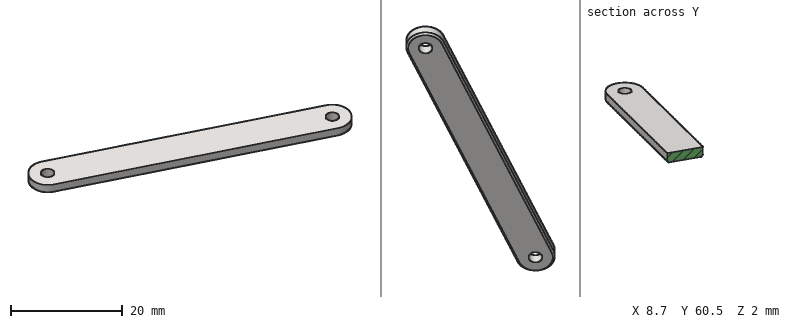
import cadquery as cq
import math

width = 6.95
thickness = 2.0
hole_diameter = 2.4
hole_offset_x = 1.75
hole_offset_y = 53.55
bottom_chamfer = 0.35

hole_distance = math.hypot(hole_offset_x, hole_offset_y)
link_angle = 90 + math.degrees(math.atan2(hole_offset_x, hole_offset_y))

link = cq.Workplane("XY").slot2D(hole_distance + width, width).extrude(thickness)

link = link.faces("<Z").edges().chamfer(bottom_chamfer)

hole_centres = [(-hole_distance / 2, 0), (hole_distance / 2, 0)]
link = link.faces(">Z").workplane().pushPoints(hole_centres).hole(hole_diameter)

result = link.rotate((0, 0, 0), (0, 0, 1), link_angle)